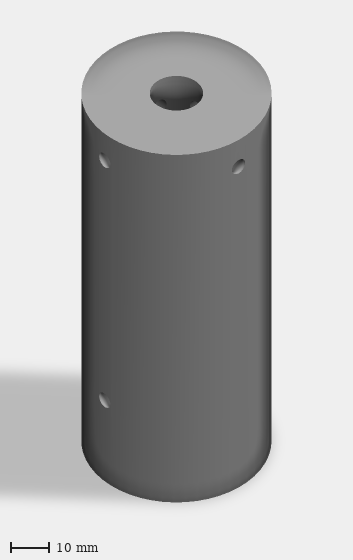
import cadquery as cq

length = 120.0
outer_diameter = 50.0
bore_diameter = 14.0

cross_hole_diameter = 4.5
upper_hole_height = length - 9.2
lower_hole_height = 28.0


def cross_hole(plane, height):
    """Cutter through the full diameter, along the normal of a vertical plane."""
    return (
        cq.Workplane(plane)
        .center(0, height)
        .circle(cross_hole_diameter / 2)
        .extrude(outer_diameter, both=True)
    )


body = cq.Workplane("XY").circle(outer_diameter / 2).extrude(length)
bore = cq.Workplane("XY").circle(bore_diameter / 2).extrude(length)
result = body.cut(bore)

for plane, height in (
    ("XZ", upper_hole_height),
    ("XZ", lower_hole_height),
    ("YZ", upper_hole_height),
):
    result = result.cut(cross_hole(plane, height))